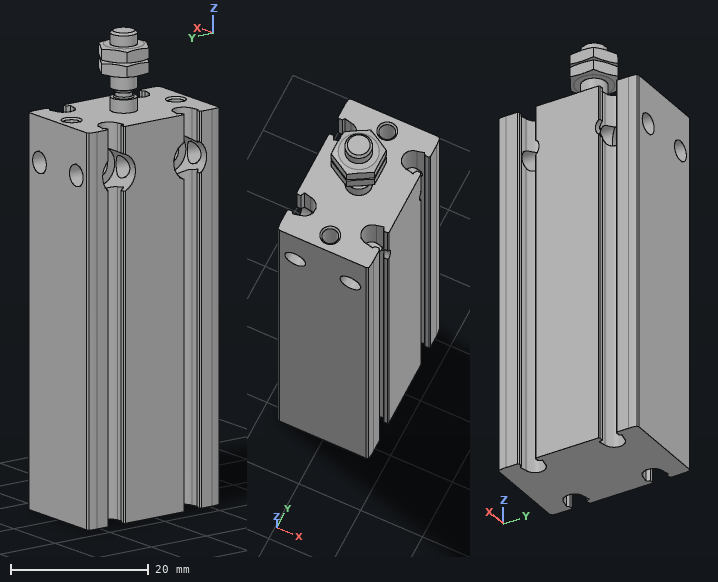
import cadquery as cq
import math


width = 15.0
depth = 24.0
total_height = 72.0
rod_length = 12.0
housing_height = total_height - rod_length

flank_length = 1.4
flank_drop = 0.15
flank_bulge = 0.04
corner_chamfer_x = 0.35
corner_chamfer_y = 0.15

channel_y = 6.8
channel_depth = 3.7
channel_top_width = 3.8
channel_top_depth = 1.1
channel_floor_width = 3.3
channel_arc_depth = 2.15
mouth_width = 2.8
mouth_y = 6.9
mouth_chamfer = 0.18
lip_thickness = 0.8

mount_hole_diameter = 3.3
mount_drop = 7.0
mount_z = housing_height - mount_drop
side_hole_y = 6.5
front_hole_x = 4.5
counterbore_diameter = 6.0
counterbore_depth = 5.05

screw_hole_diameter = 2.45
screw_hole_depth = 5.75
screw_hole_y = 9.5
countersink_diameter = 3.0
countersink_angle = 90

rod_diameter = 4.0
neck_diameter = 2.7
neck_foot_diameter = 3.0
neck_foot_height = 0.2
groove_bottom = 2.0
fillet_top = 3.4
fillet_radius = 0.5
fillet_foot_diameter = 2.95
rod_tip_diameter = 3.3
rod_tip_chamfer = (rod_diameter - rod_tip_diameter) / 2

nut_across_flats = 7.0
nut_across_corners = nut_across_flats / math.cos(math.pi / 6)
nut_height = 2.15
nut_face_diameter = 6.0
nut_chamfer_height = 0.3
nut_count = 2
nut_clearance = 5.7
nut_stack_bottom = housing_height + nut_clearance


def make_profile():
    """Rectangle of the housing with its four shaped corners."""
    half_x = width / 2
    half_y = depth / 2
    shoulder_x = half_x - flank_drop
    shoulder_y = half_y - corner_chamfer_y
    flank_y = shoulder_y - flank_length
    mid_x = half_x - flank_drop / 2 + flank_bulge
    mid_y = shoulder_y - flank_length / 2
    end_x = shoulder_x - corner_chamfer_x
    return (
        cq.Workplane("XY")
        .moveTo(half_x, -flank_y)
        .lineTo(half_x, flank_y)
        .threePointArc((mid_x, mid_y), (shoulder_x, shoulder_y))
        .lineTo(end_x, half_y)
        .lineTo(-end_x, half_y)
        .lineTo(-shoulder_x, shoulder_y)
        .threePointArc((-mid_x, mid_y), (-half_x, flank_y))
        .lineTo(-half_x, -flank_y)
        .threePointArc((-mid_x, -mid_y), (-shoulder_x, -shoulder_y))
        .lineTo(-end_x, -half_y)
        .lineTo(end_x, -half_y)
        .lineTo(shoulder_x, -shoulder_y)
        .threePointArc((mid_x, -mid_y), (half_x, -flank_y))
        .close()
    )


def make_slot():
    """Slot open to the -X side, on its +Y half."""
    face_x = -width / 2
    mouth_outer_y = mouth_y + mouth_width / 2
    mouth_inner_y = mouth_y - mouth_width / 2
    lip_x = face_x + lip_thickness
    top_x = face_x + channel_top_depth
    arc_x = face_x + channel_arc_depth
    floor_x = face_x + channel_depth
    top_half = channel_top_width / 2
    floor_half = channel_floor_width / 2
    return (
        cq.Workplane("XY")
        .moveTo(face_x, mouth_outer_y + mouth_chamfer)
        .lineTo(face_x + mouth_chamfer, mouth_outer_y)
        .lineTo(lip_x, mouth_outer_y)
        .lineTo(top_x, channel_y + top_half)
        .lineTo(arc_x, channel_y + floor_half)
        .threePointArc((floor_x, channel_y), (arc_x, channel_y - floor_half))
        .lineTo(top_x, channel_y - top_half)
        .lineTo(lip_x, mouth_inner_y)
        .lineTo(face_x + mouth_chamfer, mouth_inner_y)
        .lineTo(face_x, mouth_inner_y - mouth_chamfer)
        .close()
        .extrude(housing_height)
    )


def make_slots():
    """The slot repeated in all four quarters of the housing."""
    slot = make_slot()
    side_pair = slot.union(slot.mirror("XZ"))
    return side_pair.union(side_pair.mirror("YZ"))


def make_mount_holes():
    """Two holes along X, counterbored from the -X side, and two along Y."""
    side_places = [(-side_hole_y, mount_z), (side_hole_y, mount_z)]
    side_plane = cq.Workplane("YZ", origin=(-width / 2, 0, 0))
    side_holes = side_plane.pushPoints(side_places).circle(mount_hole_diameter / 2).extrude(width)
    counterbores = (
        side_plane.pushPoints(side_places).circle(counterbore_diameter / 2).extrude(counterbore_depth)
    )
    front_holes = (
        cq.Workplane("XZ", origin=(0, depth / 2, 0))
        .pushPoints([(-front_hole_x, mount_z), (front_hole_x, mount_z)])
        .circle(mount_hole_diameter / 2)
        .extrude(depth)
    )
    return side_holes.union(counterbores).union(front_holes)


def make_housing():
    block = make_profile().extrude(housing_height)
    block = block.cut(make_slots()).cut(make_mount_holes())
    return (
        block.faces(">Z")
        .workplane(origin=(0, 0, housing_height))
        .pushPoints([(0, -screw_hole_y), (0, screw_hole_y)])
        .cskHole(screw_hole_diameter, countersink_diameter, countersink_angle, screw_hole_depth)
    )


def make_rod():
    """Turned rod standing on the housing top, with a neck, a concave shoulder and a chamfered tip."""
    foot_radius = fillet_foot_diameter / 2
    fillet_bottom = fillet_top - fillet_radius
    fillet_mid_x = foot_radius + fillet_radius * (1 - math.cos(math.pi / 4))
    fillet_mid_z = fillet_bottom + fillet_radius * math.sin(math.pi / 4)
    return (
        cq.Workplane("XZ", origin=(0, 0, housing_height))
        .moveTo(0, 0)
        .lineTo(rod_diameter / 2, 0)
        .lineTo(rod_diameter / 2, groove_bottom)
        .lineTo(neck_foot_diameter / 2, groove_bottom)
        .lineTo(neck_diameter / 2, groove_bottom + neck_foot_height)
        .lineTo(neck_diameter / 2, fillet_bottom)
        .lineTo(foot_radius, fillet_bottom)
        .threePointArc((fillet_mid_x, fillet_mid_z), (foot_radius + fillet_radius, fillet_top))
        .lineTo(rod_diameter / 2, fillet_top)
        .lineTo(rod_diameter / 2, rod_length - rod_tip_chamfer)
        .lineTo(rod_tip_diameter / 2, rod_length)
        .lineTo(0, rod_length)
        .close()
        .revolve(360, (0, 0, 0), (0, 1, 0))
    )


def make_nut(bottom):
    """Hexagon nut with corners on the Y axis and both ends chamfered."""
    face_radius = nut_face_diameter / 2
    corner_radius = nut_across_corners / 2
    hexagon_turn = 30
    hexagon = (
        cq.Workplane("XY")
        .polygon(6, nut_across_corners)
        .extrude(nut_height)
        .rotate((0, 0, 0), (0, 0, 1), hexagon_turn)
    )
    chamfer_envelope = (
        cq.Workplane("XZ")
        .moveTo(0, 0)
        .lineTo(face_radius, 0)
        .lineTo(corner_radius, nut_chamfer_height)
        .lineTo(corner_radius, nut_height - nut_chamfer_height)
        .lineTo(face_radius, nut_height)
        .lineTo(0, nut_height)
        .close()
        .revolve(360, (0, 0, 0), (0, 1, 0))
    )
    bore = cq.Workplane("XY").circle(rod_diameter / 2).extrude(nut_height)
    return hexagon.intersect(chamfer_envelope).cut(bore).translate((0, 0, bottom))


housing = make_housing()
rod = make_rod()
nuts = [make_nut(nut_stack_bottom + index * nut_height) for index in range(nut_count)]

result = cq.Compound.makeCompound([housing.val(), rod.val(), *[nut.val() for nut in nuts]])